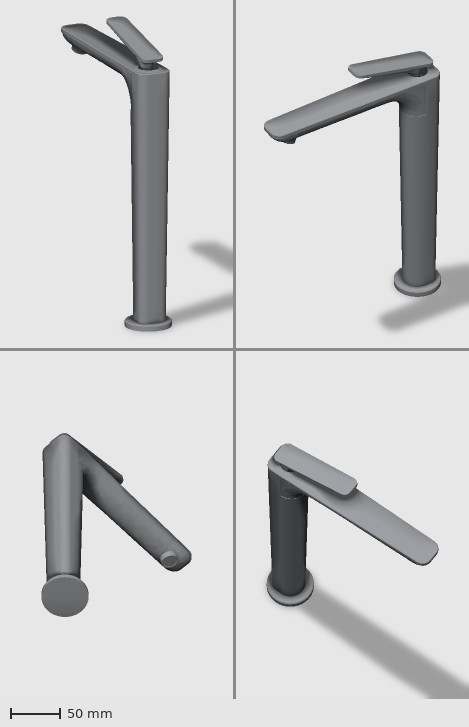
import cadquery as cq
import math

overall_length = 204.0
overall_height = 304.8

flange_radius = 48.0 / 2
flange_height = 6.0
flange_edge_chamfer = 1.0

top_z = 271.0
joint_x = -0.5
foot_half_width = 30.2 / 2
foot_front_depth = 14.5
foot_rear_x = 15.5
foot_corner_radius = 8.0
neck_z = 227.0
head_half_width = 18.0
head_rear_x = 19.8
head_corner_radius = 9.5
rim_thickness = 4.5
rim_z = top_z - rim_thickness

neck_share = (neck_z - flange_height) / (rim_z - flange_height)
neck_half_width = foot_half_width + (head_half_width - foot_half_width) * neck_share
neck_rear_x = foot_rear_x + (head_rear_x - foot_rear_x) * neck_share
neck_corner_radius = foot_corner_radius + (head_corner_radius - foot_corner_radius) * neck_share
neck_front_depth = 18.5

tip_x = flange_radius - overall_length
tip_half_width = 29.5 / 2
tip_corner_radius = 9.8
top_edge_chamfer = 0.5
bend_inner_radius = 24.5
bend_depth = 18.3
bend_half_width = 17.0
bend_outer_radius = bend_inner_radius + bend_depth
bend_x = joint_x - bend_outer_radius
spout_inset = 0.1
tip_stations = [(0.3, 0.4, 0.5), (4.3, 0.8, 6.5), (12.2, 1.0, 12.0), (24.5, 1.0, 13.0)]

cap_radius = 17.0
cap_depth = 4.5
cap_rise = 1.0
well_radius = 10.7
well_depth = 12.2
stem_x = -4.0
stem_radius = 5.8
stem_top_z = 276.8

lever_tilt = 12.5
lever_front = -80.8
lever_rear = 15.0
lever_pivot_z = overall_height + lever_front * math.sin(math.radians(lever_tilt))
lever_front_half_width = 22.3 / 2
lever_rear_half_width = 24.5 / 2
lever_corner_radius = 6.7
lever_rim = 3.5
lever_stations = [
    (-80.5, 0.6, 0.3),
    (-78.3, 0.8, 1.2),
    (-68.5, 0.95, 3.7),
    (-18.3, 0.97, 7.5),
    (6.0, 0.9, 5.0),
    (14.0, 0.6, 0.3),
]
lever_neck_foot_x = -1.2
lever_neck_foot_radius = 6.5
lever_neck_foot_drop = 15.2
lever_neck_head_x = -8.2
lever_neck_head_length = 27.5
lever_neck_head_width = 16.5
lever_neck_head_drop = 8.2

aerator_tilt = 20.0
aerator_x = -158.2
aerator_z = 250.3
aerator_radius = 9.0
aerator_length = 10.7
insert_radius = 7.3
insert_length = 4.5
insert_setback = 0.5


def half_ellipse(plane, half_width, depth):
    """Closed section hanging below the local x axis: flat above, half ellipse below."""
    return (
        cq.Workplane(plane)
        .moveTo(-half_width, 0)
        .ellipseArc(half_width, depth, 180, 360, startAtCurrent=True)
        .close()
        .val()
    )


def cross_plane(x, z):
    """Plane across the spout or lever, local x along Y and local y up."""
    return cq.Plane(origin=(x, 0, z), xDir=(0, 1, 0), normal=(1, 0, 0))


def spout_half_width(x):
    share = (x - tip_x) / (joint_x - tip_x)
    return tip_half_width + (head_half_width - tip_half_width) * share


def add_rear_outline(sketch, half_width, rear_x, corner):
    """Continue from (joint_x, -half_width) round the rear of the column to the other side."""
    slant = corner * math.sqrt(0.5)
    corner_x = rear_x - corner
    corner_y = half_width - corner
    return (
        sketch.lineTo(corner_x, -half_width)
        .threePointArc((corner_x + slant, -corner_y - slant), (rear_x, -corner_y))
        .lineTo(rear_x, corner_y)
        .threePointArc((corner_x + slant, corner_y + slant), (corner_x, half_width))
        .close()
        .val()
    )


def column_section(z, half_width, front_depth, rear_x, corner):
    sketch = (
        cq.Workplane("XY", origin=(0, 0, z))
        .moveTo(joint_x, half_width)
        .ellipseArc(front_depth, half_width, 90, 270, startAtCurrent=True)
    )
    return add_rear_outline(sketch, half_width, rear_x, corner)


def rear_section(z, half_width, rear_x, corner):
    sketch = cq.Workplane("XY", origin=(0, 0, z)).moveTo(joint_x, half_width).lineTo(joint_x, -half_width)
    return add_rear_outline(sketch, half_width, rear_x, corner)


def make_column():
    foot = column_section(
        flange_height, foot_half_width, foot_front_depth, foot_rear_x, foot_corner_radius
    )
    neck = column_section(neck_z, neck_half_width, neck_front_depth, neck_rear_x, neck_corner_radius)
    return cq.Workplane(cq.Solid.makeLoft([foot, neck], True))


def make_column_head():
    """Rear half of the column, from the bend up to the rim."""
    lower = rear_section(neck_z, neck_half_width, neck_rear_x, neck_corner_radius)
    upper = rear_section(rim_z, head_half_width, head_rear_x, head_corner_radius)
    return cq.Workplane(cq.Solid.makeLoft([lower, upper], True))


def make_rim():
    side = [(tip_x, -tip_half_width), (joint_x, -head_half_width), (head_rear_x, -head_half_width)]
    other_side = [(x, -y) for x, y in reversed(side)]
    return (
        cq.Workplane("XY", origin=(0, 0, rim_z))
        .polyline(side + other_side)
        .close()
        .extrude(rim_thickness)
        .edges("|Z and <X")
        .fillet(tip_corner_radius)
        .edges("|Z and >X")
        .fillet(head_corner_radius)
        .faces(">Z")
        .chamfer(top_edge_chamfer)
    )


def make_spout_belly():
    sections = []
    for distance, width_share, depth in tip_stations:
        x = tip_x + distance
        half_width = spout_half_width(x) * width_share - spout_inset
        sections.append(half_ellipse(cross_plane(x, rim_z), half_width, depth))
    last = half_ellipse(cross_plane(bend_x, neck_z + bend_outer_radius), bend_half_width, bend_depth)
    tip = cq.Solid.makeLoft(sections, False)
    straight = cq.Solid.makeLoft([sections[-1], last], True)
    return cq.Workplane(tip).union(cq.Workplane(straight))


def make_bend_belly():
    """The end section of the spout belly, turned a quarter circle down into the column."""
    section = half_ellipse(cross_plane(bend_x, neck_z + bend_outer_radius), bend_half_width, bend_depth)
    return cq.Workplane(
        cq.Solid.revolve(section, [], 90, cq.Vector(bend_x, 0, neck_z), cq.Vector(bend_x, 3, neck_z))
    )


def make_bend_web():
    """Flat-sided corner that joins the bend belly to the rim and the column."""
    block = cq.Workplane("XY", origin=(bend_x, 0, neck_z)).box(
        bend_outer_radius, 2 * bend_half_width, rim_z - neck_z, centered=(False, True, False)
    )
    hollow = (
        cq.Workplane("XZ", origin=(bend_x, 0, neck_z))
        .circle(bend_outer_radius)
        .extrude(bend_half_width, both=True)
    )
    return block.cut(hollow)


def make_flange():
    return (
        cq.Workplane("XY")
        .circle(flange_radius)
        .extrude(flange_height)
        .faces(">Z")
        .chamfer(flange_edge_chamfer)
    )


def make_cap_ring():
    """Ring set into the top face, rising slightly towards its bore."""
    return (
        cq.Workplane("XZ")
        .polyline([
            (well_radius, top_z - cap_depth), (cap_radius, top_z - cap_depth),
            (cap_radius, top_z), (well_radius, top_z + cap_rise),
        ])
        .close()
        .revolve(360, (0, 0, 0), (0, 1, 0))
    )


def make_stem():
    """Pin that rises from the floor of the well into the lever."""
    floor_z = top_z - well_depth
    return cq.Workplane("XY", origin=(stem_x, 0, floor_z)).circle(stem_radius).extrude(stem_top_z - floor_z)


def make_lever_belly():
    sections = []
    for x, width_share, depth in lever_stations:
        share = (x - lever_front) / (lever_rear - lever_front)
        half_width = lever_front_half_width + (lever_rear_half_width - lever_front_half_width) * share
        sections.append(half_ellipse(cross_plane(x, -lever_rim), half_width * width_share, depth))
    return cq.Workplane(cq.Solid.makeLoft(sections, True))


def make_lever(stem):
    """Tilted lever with a socket where it sits on the stem."""
    side = [(lever_front, -lever_front_half_width), (lever_rear, -lever_rear_half_width)]
    other_side = [(x, -y) for x, y in reversed(side)]
    plate = (
        cq.Workplane("XY")
        .polyline(side + other_side)
        .close()
        .extrude(-lever_rim)
        .edges("|Z")
        .fillet(lever_corner_radius)
    )
    neck = (
        cq.Workplane("XY", origin=(lever_neck_foot_x, 0, -lever_neck_foot_drop))
        .circle(lever_neck_foot_radius)
        .workplane(offset=lever_neck_foot_drop - lever_neck_head_drop)
        .center(lever_neck_head_x - lever_neck_foot_x, 0)
        .ellipse(lever_neck_head_length / 2, lever_neck_head_width / 2)
        .loft()
    )
    lever = plate.union(make_lever_belly()).union(neck)
    lever = lever.rotate((0, 0, 0), (0, 1, 0), lever_tilt).translate((0, 0, lever_pivot_z))
    return lever.cut(stem)


def outlet_cylinder(radius, start, length):
    """Cylinder on the tilted outlet axis, starting a given distance above the outlet face."""
    tilt = math.radians(aerator_tilt)
    axis = cq.Vector(math.sin(tilt), 0, math.cos(tilt))
    base = cq.Vector(aerator_x, 0, aerator_z) + axis * start
    return cq.Workplane(cq.Solid.makeCylinder(radius, length, base, axis))


def make_body(aerator_blank):
    body = make_column().union(make_column_head()).union(make_rim()).union(make_spout_belly())
    body = body.union(make_bend_belly()).union(make_bend_web())
    cap_seat = cq.Workplane("XY", origin=(0, 0, top_z)).circle(cap_radius).extrude(-cap_depth)
    well = cq.Workplane("XY", origin=(0, 0, top_z)).circle(well_radius).extrude(-well_depth)
    return body.cut(cap_seat).cut(well).cut(aerator_blank)


flange = make_flange()
aerator_blank = outlet_cylinder(aerator_radius, 0, aerator_length)
insert_bore = outlet_cylinder(insert_radius, 0, insert_setback + insert_length)
aerator = aerator_blank.cut(insert_bore)
aerator_insert = outlet_cylinder(insert_radius, insert_setback, insert_length)
body = make_body(aerator_blank)
cap_ring = make_cap_ring()
stem = make_stem()
lever = make_lever(stem)

parts = [flange, body, cap_ring, stem, lever, aerator, aerator_insert]
result = cq.Compound.makeCompound([part.solids().val() for part in parts])